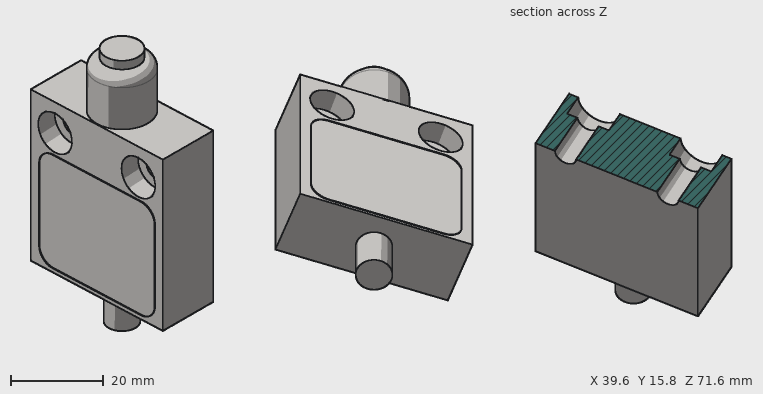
import cadquery as cq

width = 39.6
depth = 15.75
height = 44.4
front_y = -depth / 2

stub_diameter = 7.95
stub_length = 10.3

overall_height = 71.6
sleeve_radius = 7.7
button_radius = 4.9
shoulder_radius = sleeve_radius - button_radius
sleeve_height = 13.7
dome_height = 0.9
dome_base_z = overall_height - stub_length - dome_height

hole_diameter = 5.1
counterbore_diameter = 10.1
counterbore_depth = 5.15
hole_offset_x = 12.45
hole_z = height - 7.95

recess_width = 34.6
recess_height = 29.4
recess_bottom_z = 1.1
recess_corner_radius = 4.1
recess_depth = 0.2


def front_cylinder(x, z, diameter, length):
    """Cylinder running inward (+Y) from the front face."""
    start = cq.Vector(x, front_y, z)
    return cq.Workplane(cq.Solid.makeCylinder(diameter / 2, length, start, cq.Vector(0, 1, 0)))


def make_plunger():
    """Sleeve and domed button, revolved about Z."""
    sleeve_top_z = height + sleeve_height
    sphere_radius = (button_radius**2 + dome_height**2) / (2 * dome_height)
    dome_top_z = dome_base_z + dome_height
    middle_x = button_radius / 2
    middle_z = dome_top_z - sphere_radius + (sphere_radius**2 - middle_x**2) ** 0.5
    return (
        cq.Workplane("XZ")
        .moveTo(0, height)
        .lineTo(sleeve_radius, height)
        .lineTo(sleeve_radius, sleeve_top_z - shoulder_radius)
        .radiusArc((button_radius, sleeve_top_z), -shoulder_radius)
        .lineTo(button_radius, dome_base_z)
        .threePointArc((middle_x, middle_z), (0, dome_top_z))
        .close()
        .revolve(360, (0, 0, 0), (0, 1, 0))
    )


def make_recess():
    """Rounded rectangular cutter for the label recess."""
    return (
        cq.Workplane("XY")
        .box(recess_width, recess_depth, recess_height, centered=(True, False, False))
        .edges("|Y")
        .fillet(recess_corner_radius)
        .translate((0, front_y, recess_bottom_z))
    )


housing = cq.Workplane("XY").box(width, depth, height, centered=(True, True, False))
stub = cq.Workplane("XY").circle(stub_diameter / 2).extrude(-stub_length)
result = housing.union(stub).union(make_plunger()).cut(make_recess())

for hole_x in (-hole_offset_x, hole_offset_x):
    result = result.cut(front_cylinder(hole_x, hole_z, hole_diameter, depth))
    result = result.cut(front_cylinder(hole_x, hole_z, counterbore_diameter, counterbore_depth))